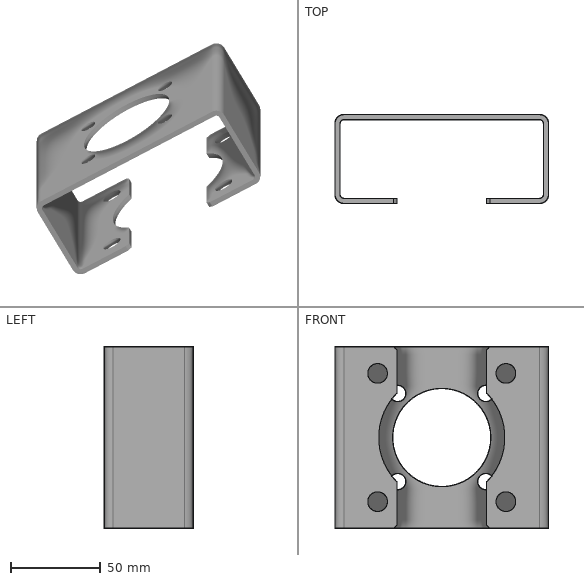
import cadquery as cq

width = 120.0
depth = 50.0
height = 102.0

thickness = 3.0
outer_bend_radius = 5.0
inner_bend_radius = outer_bend_radius - thickness

flange_gap = 50.0
flange_corner_chamfer = 2.0
flange_cutout_diameter = 70.8

bore_diameter = 55.0
screw_hole_diameter = 9.0
screw_hole_spacing = 49.5
mount_hole_diameter = 11.0
mount_hole_spacing = 72.0

front_y = -depth / 2
back_y = depth / 2


def rounded_block(block_width, block_depth, corner_radius):
    """Block of the full height with rounded vertical edges."""
    block = cq.Workplane("XY").box(block_width, block_depth, height)
    return block.edges("|Z").fillet(corner_radius)


def wall_plane(outer_y):
    """Sketch plane at the given Y whose normal points along -Y."""
    return cq.Workplane("XZ", origin=(0, outer_y, 0))


def hole_square(outer_y, spacing, diameter):
    """Four cylinders on a square, running from outer_y toward -Y by one sheet thickness."""
    plane = wall_plane(outer_y).rect(spacing, spacing, forConstruction=True)
    return plane.vertices().circle(diameter / 2).extrude(thickness)


tube = rounded_block(width, depth, outer_bend_radius)
cavity = rounded_block(width - 2 * thickness, depth - 2 * thickness, inner_bend_radius)
tube = tube.cut(cavity)

flange_inner_y = front_y + thickness
gap = wall_plane(flange_inner_y).rect(flange_gap, height).extrude(thickness)
channel = tube.cut(gap)
for x in (-flange_gap / 2, flange_gap / 2):
    for z in (-height / 2, height / 2):
        corner = wall_plane(flange_inner_y).center(x, z)
        diamond = corner.polyline([
            (-flange_corner_chamfer, 0),
            (0, flange_corner_chamfer),
            (flange_corner_chamfer, 0),
            (0, -flange_corner_chamfer),
        ]).close().extrude(thickness)
        channel = channel.cut(diamond)

cutout = wall_plane(flange_inner_y).circle(flange_cutout_diameter / 2).extrude(thickness)
bore = wall_plane(back_y).circle(bore_diameter / 2).extrude(thickness)

screw_holes = hole_square(back_y, screw_hole_spacing, screw_hole_diameter)
mount_holes = hole_square(flange_inner_y, mount_hole_spacing, mount_hole_diameter)

result = channel.cut(cutout).cut(bore).cut(screw_holes).cut(mount_holes)